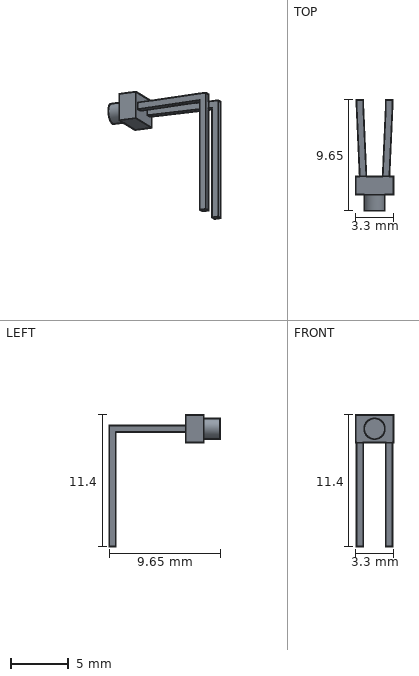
import cadquery as cq

BODY_WIDTH = 3.3
BODY_DEPTH = 1.6
BODY_HEIGHT = 2.4

LENS_DIAMETER = 1.8
LENS_LENGTH = 1.4

LEAD_SIZE = 0.6
LEAD_PITCH_AT_BODY = 2.0
LEAD_PITCH_AT_BEND = 2.54
OVERALL_LENGTH = 9.65
OVERALL_HEIGHT = 11.45

BODY_BACK_Y = BODY_DEPTH
LEAD_BACK_Y = OVERALL_LENGTH - LENS_LENGTH
LEAD_FRONT_Y = LEAD_BACK_Y - LEAD_SIZE
LEAD_TOP_Z = LEAD_SIZE / 2
LEAD_BOTTOM_Z = BODY_HEIGHT / 2 - OVERALL_HEIGHT


def make_body():
    return cq.Workplane("XY").box(BODY_WIDTH, BODY_DEPTH, BODY_HEIGHT, centered=(True, False, True))


def make_lens():
    return cq.Workplane("XZ").circle(LENS_DIAMETER / 2).extrude(LENS_LENGTH)


def make_lead(side):
    """One bent lead; side is -1 for the -X lead and +1 for the +X lead."""
    body_x = side * LEAD_PITCH_AT_BODY / 2
    bend_x = side * LEAD_PITCH_AT_BEND / 2
    half = LEAD_SIZE / 2

    spread_arm = (
        cq.Workplane("XY", origin=(0, 0, -half))
        .polyline(
            [
                (body_x - half, BODY_BACK_Y),
                (body_x + half, BODY_BACK_Y),
                (bend_x + half, LEAD_FRONT_Y),
                (bend_x - half, LEAD_FRONT_Y),
            ]
        )
        .close()
        .extrude(LEAD_SIZE)
    )
    down_leg = cq.Workplane("XY", origin=(bend_x, LEAD_FRONT_Y + half, LEAD_BOTTOM_Z)).rect(
        LEAD_SIZE, LEAD_SIZE
    ).extrude(LEAD_TOP_Z - LEAD_BOTTOM_Z)
    return spread_arm.union(down_leg)


result = make_body().union(make_lens())
for lead_side in (-1, 1):
    result = result.union(make_lead(lead_side))